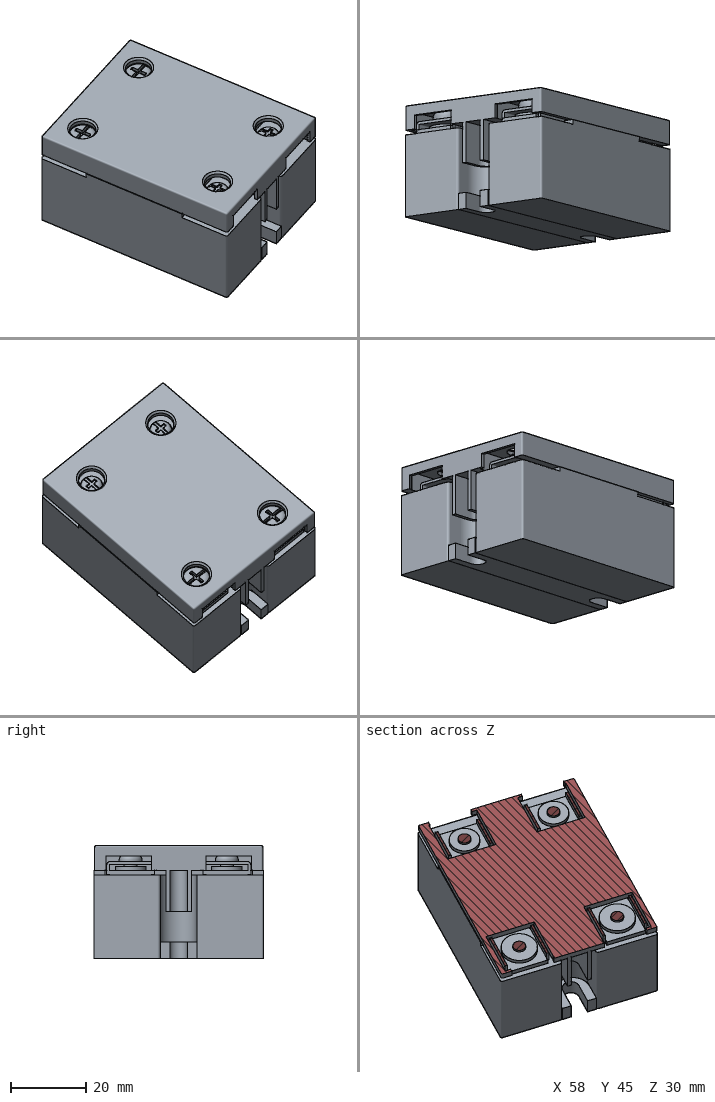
import cadquery as cq


LENGTH = 58.0
WIDTH = 45.0
HEIGHT = 30.0
CORNER_RADIUS = 0.5
END = LENGTH / 2

PLATE_TOP = 4.35
TONGUE_BOTTOM = 12.45
LEDGE_TOP = 22.1
HOUSING_TOP = 23.4
CLAMP_TOP = 25.75
WINDOW_TOP = 27.15

RELIEF_RADIUS = 4.9
RELIEF_CENTER = 24.25
RELIEF_EDGE_RADIUS = 0.7
EDGE_MARGIN = 0.05
BOLT_SLOT_RADIUS = 2.3
BOLT_SLOT_CENTER = 23.1
TONGUE_RADIUS = 3.4

LEDGE_DEPTH = 14.1
LEDGE_WALL = END - LEDGE_DEPTH

COVER_WIDTH = 44.65
COVER_EDGE_RADIUS = 0.45
COVER_WALL = 0.9
COVER_ROOF = 1.6
CAVITY_CLEARANCE = 0.5
WINDOW_WIDTH = 12.05
WINDOW_CENTER = 13.3
ACCESS_HOLE_RADIUS = 3.5
ACCESS_HOLE_CHAMFER = 0.5

CLAMP_THICKNESS = 0.75
CLAMP_BEND_RADIUS = 0.9
CLAMP_FOOT_GAP = 0.2
SHANK_RADIUS = 1.75
WASHER_HEIGHT = 1.05
DRIVE_WIDTH = 0.85

LARGE_TERMINAL = {
    "screw_x": -21.2,
    "screw_y": 14.05,
    "clamp_start": -26.55,
    "clamp_length": 10.95,
    "clamp_width": 12.65,
    "pad_end": -27.55,
    "washer_radius": 4.8,
    "head_radius": 3.9,
    "head_height": 2.9,
    "crown_radius": 2.2,
    "drive_depth": 1.15,
    "long_slot_along_y": True,
}
SMALL_TERMINAL = {
    "screw_x": 20.0,
    "screw_y": 12.75,
    "clamp_start": 15.65,
    "clamp_length": 9.4,
    "clamp_width": 12.65,
    "pad_end": 25.05,
    "washer_radius": 4.05,
    "head_radius": 3.0,
    "head_height": 1.85,
    "crown_radius": 1.55,
    "drive_depth": 0.45,
    "long_slot_along_y": False,
}
TERMINAL_KINDS = (LARGE_TERMINAL, SMALL_TERMINAL)
SIDES = (-1, 1)


def block(x_range, y_range, z_range):
    """Box between two limits on each axis, given in either order."""
    (x0, x1), (y0, y1), (z0, z1) = (sorted(limits) for limits in (x_range, y_range, z_range))
    return cq.Workplane("XY").box(x1 - x0, y1 - y0, z1 - z0, centered=False).translate((x0, y0, z0))


def cylinder(radius, x, y, z_range):
    bottom, top = z_range
    return cq.Workplane("XY", origin=(x, y, bottom)).circle(radius).extrude(top - bottom)


def end_slot(end, center, radius, z_range):
    """Round-ended slot running in from the end face of the relay."""
    straight = block((end * END, end * center), (-radius, radius), z_range)
    return straight.union(cylinder(radius, end * center, 0, z_range))


def inner_width(kind):
    """Width between the legs of a clamp, filled by the pad of the board."""
    return kind["clamp_width"] - 2 * CLAMP_THICKNESS


def end_of(kind):
    """Direction along X of the relay end where this kind of terminal stands."""
    return 1 if kind["screw_x"] > 0 else -1


def pad(kind, side):
    """Board tongue under one terminal, running back to the ledge wall."""
    end = end_of(kind)
    middle = side * kind["screw_y"]
    half = inner_width(kind) / 2
    x_range = (end * LEDGE_WALL, kind["pad_end"])
    return block(x_range, (middle - half, middle + half), (LEDGE_TOP, HOUSING_TOP))


def board_plate():
    """Middle of the board, between the two ledges."""
    half_width = LARGE_TERMINAL["screw_y"] + inner_width(LARGE_TERMINAL) / 2
    return block((-LEDGE_WALL, LEDGE_WALL), (-half_width, half_width), (LEDGE_TOP, HOUSING_TOP))


def make_housing():
    body = block((-END, END), (-WIDTH / 2, WIDTH / 2), (0, HOUSING_TOP))
    body = body.edges("|Z").fillet(CORNER_RADIUS)
    for end in SIDES:
        body = body.cut(end_slot(end, RELIEF_CENTER, RELIEF_RADIUS, (0, HOUSING_TOP)))
    mouth_edges = body.faces("<X or >X").edges("|Z").edges(cq.selectors.BoxSelector(
        (-LENGTH, -RELIEF_RADIUS - EDGE_MARGIN, 0), (LENGTH, RELIEF_RADIUS + EDGE_MARGIN, HOUSING_TOP)
    ))
    body = mouth_edges.fillet(RELIEF_EDGE_RADIUS)
    for end in SIDES:
        ledge = block((end * LEDGE_WALL, end * END), (-WIDTH / 2, WIDTH / 2), (LEDGE_TOP, HOUSING_TOP))
        body = body.cut(ledge)
    plate_channel = block((-END, END), (-RELIEF_RADIUS, RELIEF_RADIUS), (0, PLATE_TOP))
    return body.cut(plate_channel).cut(board_plate())


def make_base_plate():
    plate = block((-END, END), (-RELIEF_RADIUS, RELIEF_RADIUS), (0, PLATE_TOP))
    for end in SIDES:
        plate = plate.cut(end_slot(end, BOLT_SLOT_CENTER, BOLT_SLOT_RADIUS, (0, PLATE_TOP)))
    return plate


def clamp(kind, side):
    """Sheet bent into an upside-down U that straddles the pad."""
    bottom = LEDGE_TOP + CLAMP_FOOT_GAP
    x_range = (kind["clamp_start"], kind["clamp_start"] + kind["clamp_length"])
    middle = side * kind["screw_y"]
    outer_half = kind["clamp_width"] / 2
    inner_half = inner_width(kind) / 2
    outer = block(x_range, (middle - outer_half, middle + outer_half), (bottom, CLAMP_TOP))
    outer = outer.edges("|X and >Z").fillet(CLAMP_BEND_RADIUS)
    inner = block(x_range, (middle - inner_half, middle + inner_half), (bottom, CLAMP_TOP - CLAMP_THICKNESS))
    inner = inner.edges("|X and >Z").fillet(CLAMP_BEND_RADIUS - CLAMP_THICKNESS)
    return outer.cut(inner)


def screw(kind, side):
    """Domed screw with its washer, cross-slotted in the head."""
    x = kind["screw_x"]
    y = side * kind["screw_y"]
    head_radius = kind["head_radius"]
    crown_radius = kind["crown_radius"]
    head_top = CLAMP_TOP + kind["head_height"]
    head = cylinder(head_radius, x, y, (CLAMP_TOP, head_top))
    head = head.faces(">Z").edges().fillet(head_radius - crown_radius)
    drive_z = (head_top - kind["drive_depth"], head_top)
    half_slot = DRIVE_WIDTH / 2
    if kind["long_slot_along_y"]:
        half_x, half_y = crown_radius, head_radius
    else:
        half_x, half_y = head_radius, crown_radius
    head = head.cut(block((x - half_x, x + half_x), (y - half_slot, y + half_slot), drive_z))
    head = head.cut(block((x - half_slot, x + half_slot), (y - half_y, y + half_y), drive_z))
    shank = cylinder(SHANK_RADIUS, x, y, (HOUSING_TOP, CLAMP_TOP))
    washer = cylinder(kind["washer_radius"], x, y, (HOUSING_TOP, HOUSING_TOP + WASHER_HEIGHT))
    return head.union(shank).union(washer)


def make_terminal_board():
    board = board_plate()
    for kind in TERMINAL_KINDS:
        for side in SIDES:
            board = board.union(pad(kind, side))
            board = board.union(clamp(kind, side))
            board = board.union(screw(kind, side))
    return board


def terminal_cavity(kind, side):
    """Room around one terminal: an inner pocket, a wire window and a screwdriver hole."""
    end = end_of(kind)
    middle = side * kind["screw_y"]
    half_pocket = kind["clamp_width"] / 2 + CAVITY_CLEARANCE
    pocket = block(
        (end * LEDGE_WALL, end * (END - COVER_WALL)),
        (middle - half_pocket, middle + half_pocket),
        (HOUSING_TOP, HEIGHT - COVER_ROOF),
    )
    window_middle = side * WINDOW_CENTER
    window = block(
        (end * LEDGE_WALL, end * END),
        (window_middle - WINDOW_WIDTH / 2, window_middle + WINDOW_WIDTH / 2),
        (HOUSING_TOP, WINDOW_TOP),
    )
    hole = cylinder(ACCESS_HOLE_RADIUS, kind["screw_x"], middle, (HOUSING_TOP, HEIGHT))
    flare_z = HEIGHT - ACCESS_HOLE_CHAMFER
    mouth_radius = ACCESS_HOLE_RADIUS + ACCESS_HOLE_CHAMFER
    flare = (
        cq.Workplane("XY", origin=(kind["screw_x"], middle, flare_z)).circle(ACCESS_HOLE_RADIUS)
        .workplane(offset=ACCESS_HOLE_CHAMFER).circle(mouth_radius).loft(ruled=True)
    )
    return pocket.union(window).union(hole).union(flare)


def make_cover():
    cover = block((-END, END), (-COVER_WIDTH / 2, COVER_WIDTH / 2), (HOUSING_TOP, HEIGHT))
    cover = cover.edges("|Z or >Z").fillet(COVER_EDGE_RADIUS)
    tongue_z = (TONGUE_BOTTOM, HOUSING_TOP)
    for end in SIDES:
        tongue = end_slot(end, BOLT_SLOT_CENTER, TONGUE_RADIUS, tongue_z)
        tongue = tongue.cut(end_slot(end, BOLT_SLOT_CENTER, BOLT_SLOT_RADIUS, tongue_z))
        cover = cover.union(tongue)
    for kind in TERMINAL_KINDS:
        for side in SIDES:
            cover = cover.cut(terminal_cavity(kind, side))
    return cover


housing = make_housing()
base_plate = make_base_plate()
terminal_board = make_terminal_board()
cover = make_cover()

result = cq.Compound.makeCompound(
    [body.solids().val() for body in (housing, base_plate, terminal_board, cover)]
)